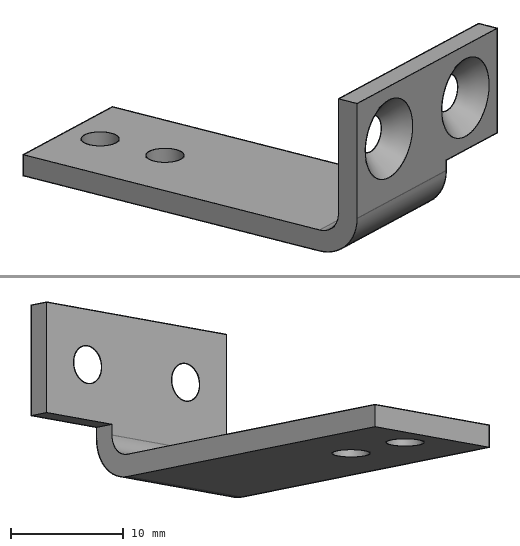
import cadquery as cq

length = 36.0
upright_width = 22.0
height = 15.0

thickness = 2.0
inner_bend_radius = thickness
outer_bend_radius = inner_bend_radius + thickness

base_width = 14.0
plate_height = 10.0

hole_diameter = 3.4
base_hole_end_distance = 3.5
base_hole_spacing = 2 * base_hole_end_distance
countersink_diameter = hole_diameter + 2 * thickness
plate_hole_edge_distance = 5.0
plate_hole_spacing = upright_width - 2 * plate_hole_edge_distance


def block(size_x, size_y, size_z, corner):
    """Box grown from its lowest corner."""
    return cq.Workplane("XY").box(size_x, size_y, size_z, centered=False).translate(corner)


def bent_strap():
    """L-shaped strip of constant width with a concentric bend."""
    base = block(length, base_width, thickness, (0, 0, 0))
    upright = block(thickness, base_width, height, (length - thickness, 0, 0))
    strap = base.union(upright)
    inner_corner = cq.selectors.NearestToPointSelector(
        (length - thickness, base_width / 2, thickness)
    )
    outer_corner = cq.selectors.NearestToPointSelector((length, base_width / 2, 0))
    strap = strap.edges(inner_corner).fillet(inner_bend_radius)
    return strap.edges(outer_corner).fillet(outer_bend_radius)


def upright_plate():
    """Top of the upright, reaching past the strap on the +Y side."""
    corner = (length - thickness, 0, height - plate_height)
    return block(thickness, upright_width, plate_height, corner)


def base_holes():
    """Two holes along the centre line of the base."""
    first_x = base_hole_end_distance
    centers = [(first_x + i * base_hole_spacing, base_width / 2) for i in range(2)]
    return cq.Workplane("XY").pushPoints(centers).circle(hole_diameter / 2).extrude(thickness)


def plate_holes():
    """Two countersunk holes side by side at mid-height, opening out toward +X."""
    center_z = height - plate_height / 2
    small_radius = hole_diameter / 2
    large_radius = countersink_diameter / 2
    cone = cq.Solid.makeCone(small_radius, large_radius, thickness, dir=cq.Vector(1, 0, 0))
    holes = cq.Workplane("XY")
    for i in range(2):
        center_y = plate_hole_edge_distance + i * plate_hole_spacing
        holes = holes.add(cone.translate(cq.Vector(length - thickness, center_y, center_z)))
    return holes.combine()


bracket = bent_strap().union(upright_plate())
result = bracket.cut(base_holes()).cut(plate_holes())